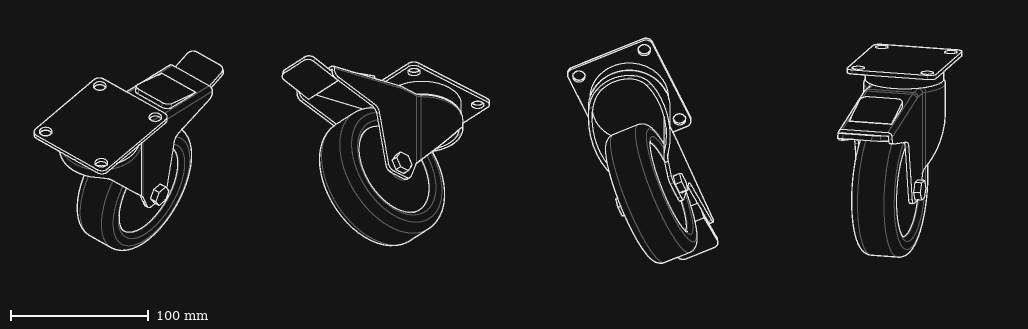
import cadquery as cq
import math


wheel_y = 38.8
wheel_radius = 50.0
wheel_half_width = 16.0
tyre_round = 6.0
lip_outer_radius = 38.2
lip_round = 3.3
dish_half_width = 12.0
hub_radius = 11.0

plate_top = 86.0
plate_thickness = 3.1
plate_width = 67.0
plate_length = 77.0
plate_corner = 5.0
hole_spacing_x = 52.0
hole_spacing_y = 62.0
hole_diameter = 9.0
collar_radius = 28.5

sheet = 2.8
fork_top = 71.6
head_radius = 29.7
cheek_x = 20.4
neck_radius = 4.9
top_edge_round = 3.3
deck_bend_y = 37.3
deck_bend_radius = 19.5
deck_end_y = 103.5
deck_end_z = 58.5
skirt_bottom = 60.8
skirt_corner = 11.4
armpit_corner = 6.5
cheek_corner = 4.9

bolt_y = 39.8
bolt_flats = 13.0
bolt_end_x = 25.5

pedal_half_width = 16.0
pedal_thickness = 3.8
pedal_corner = 5.0
overall_length = 163.0
lever_tip = (overall_length - plate_length / 2, 57.2)
lever_angle = 14.0
arm_root = (89.7, 61.5)
arm_angle = 18.0
arm_length = 33.9
arm_under_length = 22.3
shoe_toe = (86.5, 60.0)
heel_y = 96.0

plate_bottom = plate_top - plate_thickness
hub_half_width = cheek_x - sheet
deck_slope = (fork_top - deck_end_z) / (deck_end_y - deck_bend_y)


def extrude_across(workplane_yz, half_width):
    """Extrude a closed YZ profile equally to both sides of X = 0."""
    return workplane_yz.extrude(half_width, both=True)


def round_corners(solid, corners):
    """Round X-parallel profile corners given as (y, z, radius)."""
    for y, z, radius in corners:
        solid = solid.edges(cq.selectors.NearestToPointSelector((0, y, z))).fillet(radius)
    return solid


def mounting_plate():
    plate = (
        cq.Workplane("XY")
        .workplane(offset=plate_bottom)
        .rect(plate_width, plate_length)
        .extrude(plate_thickness)
        .edges("|Z")
        .fillet(plate_corner)
    )
    return (
        plate.faces(">Z")
        .workplane()
        .rect(hole_spacing_x, hole_spacing_y, forConstruction=True)
        .vertices()
        .hole(hole_diameter)
    )


def bearing_collar():
    collar = cq.Workplane("XY").workplane(offset=fork_top)
    return collar.circle(collar_radius).extrude(plate_bottom - fork_top)


def fork_block(inset, end_y):
    """Solid with the fork's plan outline and sloping deck, offset inwards."""
    head = head_radius - inset
    cheek = cheek_x - inset
    neck = neck_radius + inset
    neck_x = cheek_x + neck_radius
    neck_y = math.sqrt((head_radius + neck_radius) ** 2 - neck_x**2)

    share = head / (head_radius + neck_radius)
    tangent = (neck_x * share, neck_y * share)
    tangent_turn = math.atan2(neck_y, neck_x)
    neck_middle = (
        neck_x - neck * math.cos(tangent_turn / 2),
        neck_y - neck * math.sin(tangent_turn / 2),
    )

    depth = 2 * plate_top
    plan = (
        cq.Workplane("XY")
        .workplane(offset=-plate_top)
        .moveTo(-cheek, end_y)
        .lineTo(-cheek, neck_y)
        .threePointArc((-neck_middle[0], neck_middle[1]), (-tangent[0], tangent[1]))
        .threePointArc((0, -head), tangent)
        .threePointArc(neck_middle, (cheek, neck_y))
        .lineTo(cheek, end_y)
        .close()
        .extrude(depth)
    )
    top = fork_top - inset
    above_deck = extrude_across(
        cq.Workplane("YZ").polyline(
            [
                (-plate_length, top),
                (deck_bend_y, top),
                (end_y + sheet, top - deck_slope * (end_y + sheet - deck_bend_y)),
                (end_y + sheet, depth),
                (-plate_length, depth),
            ]
        ).close(),
        plate_width,
    )
    above_deck = round_corners(above_deck, [(deck_bend_y, top, deck_bend_radius)])
    return plan.cut(above_deck)


def fork_side_outline():
    """Side silhouette of the fork, as a block wider than the fork."""
    rear_bottom = (103.2, 50.0)
    armpit = (60.5, 41.0)
    leg_rear = (49.9, -8.6)
    leg_front = (30.0, -8.6)
    leg_knee = (23.6, 8.2)
    skirt_front = (-19.9, skirt_bottom)
    outline = extrude_across(
        cq.Workplane("YZ").polyline(
            [
                (-plate_length, plate_top),
                (deck_end_y, plate_top),
                (deck_end_y, deck_end_z),
                rear_bottom,
                armpit,
                leg_rear,
                leg_front,
                leg_knee,
                skirt_front,
                (-plate_length, skirt_bottom),
            ]
        ).close(),
        plate_width,
    )
    corners = [
        (*rear_bottom, cheek_corner),
        (*armpit, armpit_corner),
        (*leg_rear, cheek_corner),
        (*leg_front, cheek_corner),
        (*skirt_front, skirt_corner),
    ]
    return round_corners(outline, corners)


def fork():
    outer = fork_block(0, deck_end_y)
    outer = outer.faces("+Z").edges("not(>Y)").fillet(top_edge_round)
    inner = fork_block(sheet, deck_end_y + sheet)
    return outer.cut(inner).intersect(fork_side_outline())


def wheel():
    lip_diagonal = lip_round * math.sqrt(0.5)
    tyre_diagonal = tyre_round * math.sqrt(0.5)
    lip_inner_radius = lip_outer_radius - lip_round
    lip_bottom = wheel_half_width - lip_round
    tread = wheel_half_width - tyre_round
    shoulder = wheel_radius - tyre_round
    half = (
        cq.Workplane("XY")
        .lineTo(hub_half_width, 0)
        .lineTo(hub_half_width, hub_radius)
        .lineTo(dish_half_width, lip_inner_radius)
        .lineTo(lip_bottom, lip_inner_radius)
        .threePointArc(
            (lip_bottom + lip_diagonal, lip_outer_radius - lip_diagonal),
            (wheel_half_width, lip_outer_radius),
        )
        .lineTo(wheel_half_width, shoulder)
        .threePointArc((tread + tyre_diagonal, shoulder + tyre_diagonal), (tread, wheel_radius))
        .lineTo(0, wheel_radius)
        .close()
        .revolve(360, (0, 0, 0), (1, 0, 0))
    )
    return half.union(half.mirror("YZ")).translate((0, wheel_y, 0))


def bolt_heads():
    across_corners = bolt_flats / math.cos(math.pi / 6)
    head_height = bolt_end_x - cheek_x
    heads = cq.Workplane("YZ").workplane(offset=cheek_x).center(bolt_y, 0)
    heads = heads.polygon(6, across_corners).extrude(head_height)
    return heads.union(heads.mirror("YZ"))


def along(start, angle, distance):
    """Point at a distance from start, in a direction given in degrees from +Y."""
    turn = math.radians(angle)
    return (start[0] + distance * math.cos(turn), start[1] + distance * math.sin(turn))


def brake_pedal():
    """Rear lever, brake shoe under the deck and upper arm as one profile."""
    lever_run = math.cos(math.radians(lever_angle))
    lever_top = along(lever_tip, lever_angle + 90, pedal_thickness)
    heel = along(lever_tip, lever_angle, (heel_y - lever_tip[0]) / lever_run)
    neck = along(heel, lever_angle + 90, pedal_thickness)
    arm_top = along(arm_root, 180 - arm_angle, arm_length)
    arm_bottom = along(arm_top, -90 - arm_angle, pedal_thickness)
    arm_under = along(arm_bottom, -arm_angle, arm_under_length)
    pedal = extrude_across(
        cq.Workplane("YZ").polyline(
            [lever_tip, lever_top, neck, arm_root, arm_top, arm_bottom, arm_under, shoe_toe, heel]
        ).close(),
        pedal_half_width,
    )
    for top, bottom in ((lever_top, lever_tip), (arm_top, arm_bottom)):
        middle = ((top[0] + bottom[0]) / 2, (top[1] + bottom[1]) / 2)
        for x in (-pedal_half_width, pedal_half_width):
            corner = cq.selectors.NearestToPointSelector((x, *middle))
            pedal = pedal.edges(corner).fillet(pedal_corner)
    return pedal


result = (
    mounting_plate()
    .union(bearing_collar())
    .union(fork())
    .union(wheel())
    .union(bolt_heads())
    .union(brake_pedal())
)